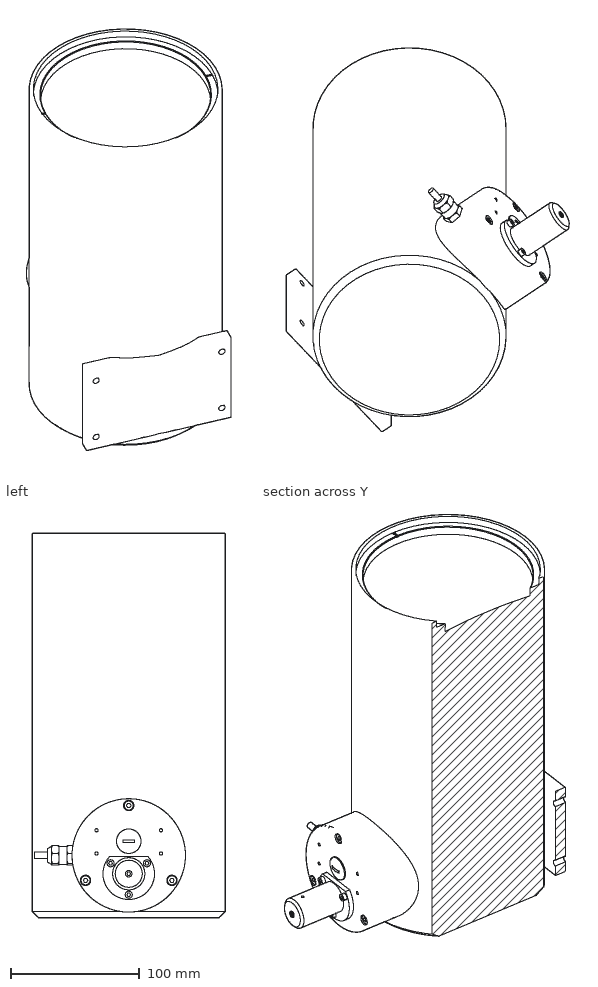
import cadquery as cq
import math

body_dia = 150.0
body_radius = body_dia / 2
body_height = 298.5
base_chamfer = 5.0
rim_fillet = 1.0

rim_bore_dia = 143.19
rim_depth = 5.7
window_dia = 132.0
window_depth = 13.0
window_rise = 6.0
ledge_chamfer = 0.6
ledge_notch_width = 1.57
ledge_notch_depth = 1.0

housing_dia = 88.0
housing_radius = housing_dia / 2
housing_z = 48.5
housing_face_x = -105.8
housing_fillet = 2.6

cover_screw_circle_radius = 38.7
cover_screw_angles = (90, 210, 330)
counterbore_dia = 8.0
counterbore_depth = 5.0
cover_head_dia = 7.0
cover_head_height = 4.0
cover_socket_across_flats = 3.0
cover_socket_depth = 2.0

cover_hole_dia = 2.46
cover_hole_depth = 3.0
cover_hole_half_pitch_y = 25.0
cover_hole_z_offsets = (1.5, 19.5)

plug_dia = 19.0
plug_z = housing_z + 11.0
plug_height = 3.4
plug_base_height = 1.0
plug_slot_length = 9.0
plug_slot_width = 2.0
plug_slot_depth = 2.0

shaft_z = housing_z - 14.25
shaft_dia = 25.0
shaft_end_x = -150.0
shaft_chamfer = 2.0
end_pin_dia = 5.0
end_pin_height = 0.74
end_socket_across_flats = 2.5
end_socket_depth = 2.0
radial_hole_dia = 2.0
radial_hole_x = shaft_end_x + 10.0
radial_hole_depth = 4.0
flange_dia = 40.0
flange_thickness = 4.0
flange_flat_offset = 13.25

flange_screw_circle_radius = 16.25
flange_screw_angles = (30, 150, 270)
flange_head_dia = 5.5
flange_head_height = 3.0
flange_socket_across_flats = 2.5
flange_socket_depth = 1.5

gland_x = -79.3
gland_dia = 14.0
gland_across_flats = 14.0
gland_hex_turn = 11.0
gland_nut_rim_dia = 14.4
gland_lower_nut_start_y = 42.7
gland_lower_nut_end_y = 48.0
gland_nut_start_y = 54.0
gland_nut_end_y = 60.0
gland_cap_end_y = 63.0
gland_cap_end_dia = 10.5
cable_dia = 5.0
cable_end_y = 73.2

plate_thickness = 10.0
plate_width = 120.0
plate_height = 80.0
plate_bottom_z = 11.0
plate_fillet = 1.0
plate_hole_dia = 5.0
plate_hole_half_pitch_y = 52.0
plate_hole_half_pitch_z = 28.0


def cylinder_along_x(dia, x_start, x_end, y, z):
    """Cylinder between two X positions."""
    plane = cq.Plane(origin=(x_start, y, z), xDir=(0, 1, 0), normal=(1, 0, 0))
    return cq.Workplane(plane).circle(dia / 2).extrude(x_end - x_start)


def hexagon_along_x(across_flats, x_start, x_end, y, z):
    """Hexagonal prism between two X positions."""
    plane = cq.Plane(origin=(x_start, y, z), xDir=(0, 1, 0), normal=(1, 0, 0))
    corner_dia = across_flats / math.cos(math.radians(30))
    return cq.Workplane(plane).polygon(6, corner_dia).extrude(x_end - x_start)


def gland_plane(y):
    """Plane square to the gland axis, facing +Y."""
    return cq.Plane(origin=(gland_x, y, housing_z), xDir=(1, 0, 0), normal=(0, 1, 0))


def points_on_circle(radius, angles, centre_z):
    """(y, z) points on a circle about (0, centre_z)."""
    points = []
    for angle in angles:
        turn = math.radians(angle)
        points.append((radius * math.cos(turn), centre_z + radius * math.sin(turn)))
    return points


def make_body():
    body = cq.Workplane("XY").circle(body_radius).extrude(body_height)
    body = body.faces("<Z").chamfer(base_chamfer)
    return body.faces(">Z").edges().fillet(rim_fillet)


def make_top_recess():
    """Stepped bore whose floor bulges up as a shallow spherical dome."""
    ledge_z = body_height - rim_depth
    window_edge_z = body_height - window_depth
    window_radius = window_dia / 2
    rim_bore = cq.Workplane("XY", origin=(0, 0, ledge_z)).circle(rim_bore_dia / 2).extrude(rim_depth)
    window_bore = cq.Workplane("XY", origin=(0, 0, window_edge_z)).circle(window_radius).extrude(window_depth)
    ledge_bevel = (
        cq.Workplane("XY", origin=(0, 0, ledge_z))
        .circle(window_radius + ledge_chamfer)
        .workplane(offset=-ledge_chamfer)
        .circle(window_radius)
        .loft()
    )
    dome_radius = (window_radius**2 + window_rise**2) / (2 * window_rise)
    dome_centre_z = window_edge_z + window_rise - dome_radius
    dome = cq.Workplane("XZ").sphere(dome_radius).translate((0, 0, dome_centre_z))
    return rim_bore.union(window_bore).union(ledge_bevel).cut(dome)


def make_ledge_notches():
    """Radial notches across the ledge at +Y and -Y."""
    notches = cq.Workplane("XY").workplane(offset=body_height - rim_depth - ledge_notch_depth)
    notches = notches.rect(ledge_notch_width, rim_bore_dia).extrude(ledge_notch_depth)
    return notches.cut(cq.Workplane("XY").circle(window_dia / 2).extrude(body_height))


def make_housing():
    housing = cylinder_along_x(housing_dia, housing_face_x, 0, 0, housing_z)
    return housing.faces("<X").edges().fillet(housing_fillet)


def cut_cover_holes(part):
    for side in (-1, 1):
        for z_offset in cover_hole_z_offsets:
            y = side * cover_hole_half_pitch_y
            hole_end_x = housing_face_x + cover_hole_depth
            part = part.cut(
                cylinder_along_x(cover_hole_dia, housing_face_x, hole_end_x, y, housing_z + z_offset)
            )
    return part


def add_cover_screws(part):
    floor_x = housing_face_x + counterbore_depth
    head_x = floor_x - cover_head_height
    for y, z in points_on_circle(cover_screw_circle_radius, cover_screw_angles, housing_z):
        part = part.cut(cylinder_along_x(counterbore_dia, housing_face_x, floor_x, y, z))
        part = part.union(cylinder_along_x(cover_head_dia, head_x, floor_x, y, z))
        socket_end_x = head_x + cover_socket_depth
        part = part.cut(hexagon_along_x(cover_socket_across_flats, head_x, socket_end_x, y, z))
    return part


def make_plug():
    """Spherical cap on a short round base on the cover, with a slot along Y."""
    plug_radius = plug_dia / 2
    cap_height = plug_height - plug_base_height
    sphere_radius = (plug_radius**2 + cap_height**2) / (2 * cap_height)
    top_x = housing_face_x - plug_height
    sphere = cq.Workplane("XY").sphere(sphere_radius).translate((top_x + sphere_radius, 0, plug_z))
    plug = sphere.intersect(cylinder_along_x(plug_dia, top_x, housing_face_x, 0, plug_z))
    slot = cq.Workplane("XY").box(2 * plug_slot_depth, plug_slot_length, plug_slot_width)
    return plug.cut(slot.translate((top_x, 0, plug_z)))


def make_flange():
    """Round flange with a flat along its upper side."""
    flange_x = housing_face_x - flange_thickness
    flange = cylinder_along_x(flange_dia, flange_x, housing_face_x, 0, shaft_z)
    above_flat = cq.Workplane("XY").box(
        flange_thickness, flange_dia, flange_dia, centered=(False, True, False)
    )
    return flange.cut(above_flat.translate((flange_x, 0, shaft_z + flange_flat_offset)))


def add_flange_screws(part):
    flange_x = housing_face_x - flange_thickness
    head_x = flange_x - flange_head_height
    socket_end_x = head_x + flange_socket_depth
    for y, z in points_on_circle(flange_screw_circle_radius, flange_screw_angles, shaft_z):
        part = part.union(cylinder_along_x(flange_head_dia, head_x, flange_x, y, z))
        part = part.cut(hexagon_along_x(flange_socket_across_flats, head_x, socket_end_x, y, z))
    return part


def make_shaft():
    shaft = cylinder_along_x(shaft_dia, shaft_end_x, housing_face_x, 0, shaft_z)
    shaft = shaft.faces("<X").edges().chamfer(shaft_chamfer)
    pin_x = shaft_end_x - end_pin_height
    end_pin = cylinder_along_x(end_pin_dia, pin_x, shaft_end_x, 0, shaft_z)
    socket_end_x = pin_x + end_socket_depth
    end_socket = hexagon_along_x(end_socket_across_flats, pin_x, socket_end_x, 0, shaft_z)
    radial_hole = (
        cq.Workplane("XY", origin=(radial_hole_x, 0, shaft_z + shaft_dia / 2))
        .circle(radial_hole_dia / 2)
        .extrude(-radial_hole_depth)
    )
    return shaft.union(end_pin).cut(end_socket).cut(radial_hole)


def make_gland_nut(y_start, y_end):
    """Hexagonal nut with its corners bevelled at both ends."""
    corner_dia = gland_across_flats / math.cos(math.radians(30))
    bevel = (corner_dia - gland_nut_rim_dia) / 2
    length = y_end - y_start
    nut = cq.Workplane(gland_plane(y_start)).polygon(6, corner_dia).extrude(length)
    envelope = cq.Workplane(gland_plane(y_start)).circle(corner_dia / 2).extrude(length)
    nut = nut.intersect(envelope.edges().chamfer(bevel))
    axis_start = (gland_x, y_start, housing_z)
    axis_end = (gland_x, y_end, housing_z)
    return nut.rotate(axis_start, axis_end, gland_hex_turn)


def make_gland():
    """Cable gland: two hexagonal nuts, a round barrel, a tapered cap and the cable."""
    root_y = housing_radius - gland_dia / 2
    barrel = cq.Workplane(gland_plane(root_y)).circle(gland_dia / 2).extrude(gland_nut_end_y - root_y)
    lower_nut = make_gland_nut(gland_lower_nut_start_y, gland_lower_nut_end_y)
    upper_nut = make_gland_nut(gland_nut_start_y, gland_nut_end_y)
    cap = (
        cq.Workplane(gland_plane(gland_nut_end_y))
        .circle(gland_dia / 2)
        .workplane(offset=gland_cap_end_y - gland_nut_end_y)
        .circle(gland_cap_end_dia / 2)
        .loft()
    )
    cable = cq.Workplane(gland_plane(root_y)).circle(cable_dia / 2).extrude(cable_end_y - root_y)
    return barrel.union(lower_nut).union(upper_nut).union(cap).union(cable)


def make_plate():
    inner_x = body_radius - plate_thickness
    centre_z = plate_bottom_z + plate_height / 2
    plate = cq.Workplane("XY").box(
        plate_thickness, plate_width, plate_height, centered=(False, True, True)
    )
    plate = plate.translate((inner_x, 0, centre_z)).edges().fillet(plate_fillet)
    for side_y in (-1, 1):
        for side_z in (-1, 1):
            y = side_y * plate_hole_half_pitch_y
            z = centre_z + side_z * plate_hole_half_pitch_z
            plate = plate.cut(cylinder_along_x(plate_hole_dia, inner_x, body_radius, y, z))
    return plate


result = make_body().union(make_housing()).union(make_plate())
result = result.cut(make_top_recess()).cut(make_ledge_notches())
result = cut_cover_holes(result)
result = add_cover_screws(result)
result = result.union(make_plug()).union(make_flange()).union(make_shaft())
result = add_flange_screws(result)
result = result.union(make_gland())